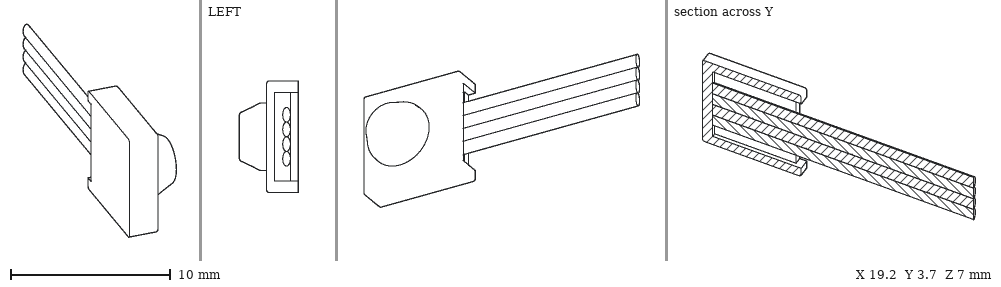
import cadquery as cq

total_length = 19.2
housing_size = 7.0
housing_depth = 2.0
edge_radius = 0.2
back_y = 0.0
housing_left = total_length - housing_size
housing_front = back_y + housing_depth

side_wall = 0.75
front_wall = 0.5
back_wall = 0.5
back_wall_setback = 0.5
chamber_height = housing_size - 2 * side_wall
chamber_length = housing_size - side_wall
chamber_front = housing_front - front_wall
chamber_back = back_y + back_wall

button_diameter = 4.25
button_top_diameter = 2.95
button_tip = 3.7
button_collar = 0.4
button_offset = 0.8
button_round = 0.25
button_x = housing_left + housing_size / 2 + button_offset

wire_count = 4
ribbon_width = 3.67
wire_width = ribbon_width / wire_count
wire_thickness = 0.48
wire_length = housing_left + chamber_length


def box(x, y, z, length, depth, height):
    """Box from its minimum X and Y, centred on z."""
    return (
        cq.Workplane("XY")
        .box(length, depth, height, centered=(False, False, True))
        .translate((x, y, z))
    )


def make_button():
    """Truncated cone on a short collar, turned about the Y axis."""
    radius = button_diameter / 2
    tip_radius = button_top_diameter / 2
    collar_end = housing_front + button_collar
    profile = (
        cq.Workplane("XY")
        .moveTo(0, chamber_front)
        .lineTo(radius, chamber_front)
        .lineTo(radius, collar_end)
        .lineTo(tip_radius, button_tip)
        .lineTo(0, button_tip)
        .close()
    )
    button = profile.revolve(360, (0, 0, 0), (0, 1, 0))
    button = button.faces(">Y or %CONE").edges("%CIRCLE").fillet(button_round)
    return button.translate((button_x, 0, 0))


def make_housing():
    """Rounded box with the wire chamber cut out and the button on its front."""
    shell = box(housing_left, back_y, 0, housing_size, housing_depth, housing_size)
    shell = shell.edges("|Y").fillet(edge_radius)
    shell = shell.faces(">Y").edges().fillet(edge_radius)
    chamber = box(
        housing_left, chamber_back, 0,
        chamber_length, chamber_front - chamber_back, chamber_height,
    )
    notch = box(housing_left, back_y, 0, back_wall_setback, back_wall, chamber_height)
    return shell.union(make_button()).cut(chamber).cut(notch)


def make_wire(z):
    """Elliptical wire lying on the back wall and ending at the far chamber wall."""
    return (
        cq.Workplane("YZ")
        .center(chamber_back + wire_thickness / 2, z)
        .ellipse(wire_thickness / 2, wire_width / 2)
        .extrude(wire_length)
    )


housing = make_housing()

wires = []
for index in range(wire_count):
    wire_z = (index - (wire_count - 1) / 2) * wire_width
    wires.append(make_wire(wire_z).val())

result = cq.Compound.makeCompound([housing.val(), *wires])